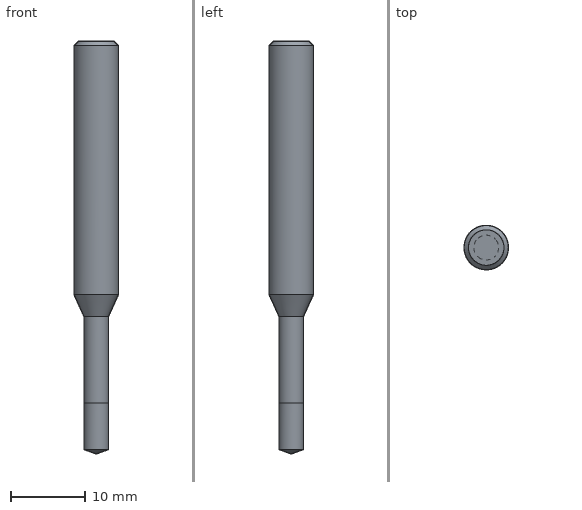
import cadquery as cq

total_length = 55.5
shank_diameter = 6.0
neck_diameter = 3.35
cutter_diameter = 3.35
end_chamfer = 0.6
tip_height = 0.6
cutter_top = 6.9
neck_top = 18.5
taper_top = 21.4

shank_radius = shank_diameter / 2
neck_radius = neck_diameter / 2
cutter_radius = cutter_diameter / 2


def revolve_profile(points):
    """Revolve a closed (radius, height) half profile around the Z axis."""
    return cq.Workplane("XZ").polyline(points).close().revolve(360, (0, 0, 0), (0, 1, 0))


def make_cutter():
    """Cylindrical cutting end with a conical point at the bottom."""
    return revolve_profile([
        (0, 0),
        (cutter_radius, tip_height),
        (cutter_radius, cutter_top),
        (0, cutter_top),
    ])


def make_shank():
    """Neck, taper and chamfered shank, seated on the flat top of the cutter."""
    return revolve_profile([
        (0, cutter_top),
        (neck_radius, cutter_top),
        (neck_radius, neck_top),
        (shank_radius, taper_top),
        (shank_radius, total_length - end_chamfer),
        (shank_radius - end_chamfer, total_length),
        (0, total_length),
    ])


cutter = make_cutter()
shank = make_shank()

result = cq.Compound.makeCompound([cutter.val(), shank.val()])